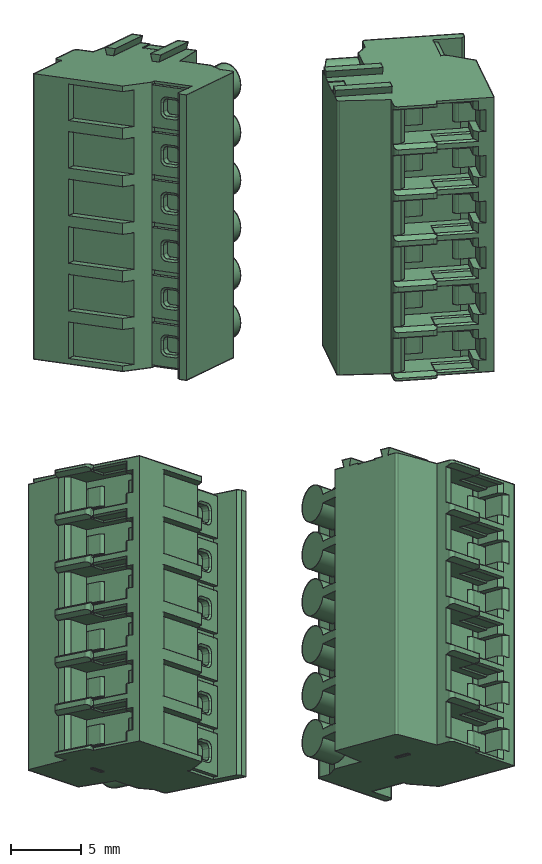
import cadquery as cq
import math

POLES = 6
PITCH = 3.5
BODY_HEIGHT = POLES * PITCH

WIDTH = 12.9
DEPTH = 11.1
CONTACT_FACE_X = 0.58
FRONT_FACE_END_X = 7.75
PAD_FACE_Y = 1.95
PAD_START_X = 9.07
LIP_X = 12.1
LIP_CHAMFER = 0.24
SHOULDER_Y = 7.3
SHOULDER_FILLET = 0.3
FIN_START_Y = 4.17
REAR_LEFT_X = 1.88
REAR_LEFT_FOOT_X = 1.45
REAR_RIGHT_X = 7.75
REAR_RIGHT_FOOT_X = 8.08
REAR_FILLET = 0.17
STEP_Y = 8.0
STEP_END_X = 10.58
STEP_FOOT_X = 11.66

LABEL_X = (3.4, 8.27)
LABEL_HEIGHT = 2.68

PAD_HEIGHT = 3.1
PAD_RAISE = 0.37
ENTRY_X = 10.58
ENTRY_SIZE = 1.6
ENTRY_FILLET = 0.48
ENTRY_INNER_SIZE = 1.25
ENTRY_INNER_FILLET = 0.3
ENTRY_LEAD_IN = 0.1
ENTRY_DEPTH = 0.7

CHAMBER_HEIGHT = 2.64
MOUTH_HEIGHT = 3.1
CHAMBER_FLOOR_X = 2.7
CHAMBER_Y = (1.47, 6.42)
CHAMBER_CHAMFER = 0.32
FLOOR_STEP_Y = 2.05
FLOOR_STEP_DEPTH = 0.06
RELIEF_HEIGHT = 2.9
RELIEF_END_Y = 4.32
RELIEF_DEPTH_X = 1.38
RELIEF_TAPER = 35
MOUTH_CHAMFER_X = 0.24
FIN_FLARE_X = 0.5
NOTCH_HEIGHT = 1.65
NOTCH_Y = 0.95
NOTCH_CHAMFER = 0.35

SPRING_HEIGHT = 1.45
SPRING_RISE = 0.25
SPRING_BEND = 0.39
INNER_SPRING_Y = (4.8, CHAMBER_Y[1])
INNER_SPRING_RAMP = 0.24
OUTER_SPRING_Y = (1.0, 2.61)
SPRING_ROOT_X = CHAMBER_FLOOR_X + 0.22

TOWER_RADIUS = 1.35
TOWER_TOP_Y = 9.95
WEB_THICKNESS = 0.65

RAIL_X = (2.98, 6.65)
RAIL_START_Y = 7.0
RAIL_TOP_WIDTH = 0.85
RAIL_BASE_WIDTH = 0.55
RAIL_HEIGHT = 0.55
LATCH_X = (4.0, 5.6)
LATCH_Y = 9.94
LATCH_DEPTH = 0.06
NUB_X = (4.23, 5.46)
NUB_Y = (7.02, 7.28)
NUB_HEIGHT = 0.06

OVERLAP = 0.22


def box(x_range, y_range, z_range):
    """Box spanning three (low, high) ranges."""
    sizes = [high - low for low, high in (x_range, y_range, z_range)]
    corner = (x_range[0], y_range[0], z_range[0])
    return cq.Workplane("XY").box(*sizes, centered=False).translate(corner)


def slab(x_range, y_range, height):
    """Box of a given height centred on Z = 0."""
    return box(x_range, y_range, (-height / 2, height / 2))


def prism_z(points, height):
    """XY polygon extruded symmetrically about Z = 0."""
    return cq.Workplane("XY").polyline(points).close().extrude(height / 2, both=True)


def wedge_y(x_range, heights, y_range):
    """Prism along Y whose height about Z = 0 changes linearly across X."""
    (x0, x1), (h0, h1) = x_range, heights
    points = [(x0, -h0 / 2), (x1, -h1 / 2), (x1, h1 / 2), (x0, h0 / 2)]
    length = y_range[1] - y_range[0]
    prism = cq.Workplane("XZ").polyline(points).close().extrude(-length)
    return prism.translate((0, y_range[0], 0))


def make_body():
    outline = [
        (CONTACT_FACE_X, 0),
        (FRONT_FACE_END_X, 0),
        (PAD_START_X, PAD_FACE_Y),
        (LIP_X, PAD_FACE_Y),
        (LIP_X, LIP_CHAMFER),
        (LIP_X + LIP_CHAMFER, 0),
        (WIDTH, 0),
        (WIDTH, SHOULDER_Y),
        (STEP_FOOT_X, SHOULDER_Y),
        (STEP_END_X, STEP_Y),
        (REAR_RIGHT_FOOT_X, STEP_Y),
        (REAR_RIGHT_X, DEPTH),
        (REAR_LEFT_X, DEPTH),
        (REAR_LEFT_FOOT_X, SHOULDER_Y),
        (0, SHOULDER_Y),
        (0, FIN_START_Y),
        (CONTACT_FACE_X, FIN_START_Y),
    ]
    body = cq.Workplane("XY").polyline(outline).close().extrude(BODY_HEIGHT)
    mid = BODY_HEIGHT / 2
    for x, y, radius in (
        (WIDTH, SHOULDER_Y, SHOULDER_FILLET),
        (0, SHOULDER_Y, SHOULDER_FILLET),
        (0, FIN_START_Y, SHOULDER_FILLET),
        (REAR_LEFT_X, DEPTH, REAR_FILLET),
    ):
        body = body.edges(cq.selectors.NearestToPointSelector((x, y, mid))).fillet(radius)
    return body


def make_label_recess():
    """Recess running out at the sloping end of the front face."""
    slope = PAD_FACE_Y / (PAD_START_X - FRONT_FACE_END_X)
    depth = (LABEL_X[1] - FRONT_FACE_END_X) * slope
    return slab(LABEL_X, (-OVERLAP, depth), LABEL_HEIGHT)


def make_pad_groove():
    """Groove that separates the pads of neighbouring poles."""
    y_range = (PAD_FACE_Y - OVERLAP, PAD_FACE_Y + PAD_RAISE)
    return slab((PAD_START_X, LIP_X), y_range, PITCH - PAD_HEIGHT)


def rounded_square(size, fillet):
    return cq.Sketch().rect(size, size).vertices().fillet(fillet)


def make_entry_hole():
    """Rounded square hole with a tapered lead-in."""
    taper = math.degrees(math.atan((ENTRY_SIZE - ENTRY_INNER_SIZE) / 2 / ENTRY_LEAD_IN))
    lead_in = (
        cq.Workplane("XZ")
        .placeSketch(rounded_square(ENTRY_SIZE, ENTRY_FILLET))
        .extrude(-ENTRY_LEAD_IN, taper=taper)
    )
    bore = (
        cq.Workplane("XZ")
        .placeSketch(rounded_square(ENTRY_INNER_SIZE, ENTRY_INNER_FILLET))
        .extrude(-ENTRY_DEPTH)
    )
    return lead_in.union(bore).translate((ENTRY_X, PAD_FACE_Y, 0))


def finish_spring(outline, y_end):
    """Run the top of a spring to its rounded +Y end and extrude it."""
    return (
        outline.lineTo(CHAMBER_FLOOR_X - SPRING_RISE, y_end - SPRING_BEND)
        .radiusArc((CHAMBER_FLOOR_X, y_end), SPRING_BEND)
        .lineTo(SPRING_ROOT_X, y_end)
        .close()
        .extrude(SPRING_HEIGHT / 2, both=True)
    )


def make_springs():
    """Two contact springs standing on the chamber floor."""
    top_x = CHAMBER_FLOOR_X - SPRING_RISE

    low, high = INNER_SPRING_Y
    ramp_radius = (INNER_SPRING_RAMP**2 + SPRING_RISE**2) / (2 * SPRING_RISE)
    inner = (
        cq.Workplane("XY")
        .moveTo(SPRING_ROOT_X, low)
        .lineTo(CHAMBER_FLOOR_X, low)
        .radiusArc((top_x, low + INNER_SPRING_RAMP), ramp_radius)
    )
    inner = finish_spring(inner, high)

    low, high = OUTER_SPRING_Y
    outer = cq.Workplane("XY").moveTo(SPRING_ROOT_X, low).lineTo(top_x, low)
    return inner.union(finish_spring(outer, high))


def make_chamber():
    """Contact chamber with a flared mouth, a relief and a notch at its -Y end."""
    low, high = CHAMBER_Y
    inner_x = CONTACT_FACE_X + CHAMBER_CHAMFER
    plan = [
        (-OVERLAP, low - CHAMBER_CHAMFER),
        (CONTACT_FACE_X, low - CHAMBER_CHAMFER),
        (inner_x, low),
        (CHAMBER_FLOOR_X, low),
        (CHAMBER_FLOOR_X, high),
        (inner_x, high),
        (CONTACT_FACE_X, high + CHAMBER_CHAMFER),
        (CONTACT_FACE_X, SHOULDER_Y + OVERLAP),
        (-OVERLAP, SHOULDER_Y + OVERLAP),
    ]
    chamber = prism_z(plan, CHAMBER_HEIGHT)

    fin_flare = wedge_y(
        (0, FIN_FLARE_X),
        (MOUTH_HEIGHT, CHAMBER_HEIGHT),
        (FIN_START_Y, SHOULDER_Y + OVERLAP),
    )
    face_flare = wedge_y(
        (CONTACT_FACE_X, CONTACT_FACE_X + MOUTH_CHAMFER_X),
        (MOUTH_HEIGHT, RELIEF_HEIGHT),
        (0, RELIEF_END_Y),
    )
    relief = make_relief()
    flares = fin_flare.union(face_flare).union(relief).intersect(prism_z(plan, PITCH))
    step_x = (CHAMBER_FLOOR_X, CHAMBER_FLOOR_X + FLOOR_STEP_DEPTH)
    floor_step = slab(step_x, (low, FLOOR_STEP_Y), CHAMBER_HEIGHT)
    chamber = chamber.union(floor_step)
    return chamber.union(flares).union(make_notch()).cut(make_springs())


def make_relief():
    """Shallow recess in the chamber's floor and ceiling, with sloping sides."""
    rise = (RELIEF_HEIGHT - CHAMBER_HEIGHT) / 2
    length_x = RELIEF_DEPTH_X + OVERLAP
    center_x = CONTACT_FACE_X - OVERLAP + length_x / 2
    half = (
        cq.Workplane("XY", origin=(center_x, RELIEF_END_Y / 2, CHAMBER_HEIGHT / 2))
        .rect(length_x, RELIEF_END_Y)
        .extrude(rise, taper=RELIEF_TAPER)
    )
    return half.union(half.mirror("XY"))


def make_notch():
    """Notch through the chamber's end wall for the contact tail."""
    plan = [
        (CONTACT_FACE_X - OVERLAP, NOTCH_Y - NOTCH_CHAMFER),
        (CONTACT_FACE_X, NOTCH_Y - NOTCH_CHAMFER),
        (CONTACT_FACE_X + NOTCH_CHAMFER, NOTCH_Y),
        (CHAMBER_FLOOR_X, NOTCH_Y),
        (CHAMBER_FLOOR_X, CHAMBER_Y[0] + OVERLAP),
        (CONTACT_FACE_X - OVERLAP, CHAMBER_Y[0] + OVERLAP),
    ]
    return prism_z(plan, NOTCH_HEIGHT)


def make_tower():
    """Screw tower and its web, both trimmed by one sloping plane."""
    right_x = ENTRY_X + TOWER_RADIUS
    base_y = SHOULDER_Y - OVERLAP
    barrel = (
        cq.Workplane("XZ", origin=(ENTRY_X, base_y, 0))
        .circle(TOWER_RADIUS)
        .extrude(base_y - DEPTH)
    )
    web = slab((REAR_RIGHT_X - OVERLAP, ENTRY_X), (base_y, DEPTH), WEB_THICKNESS)
    envelope = prism_z(
        [
            (REAR_RIGHT_X - OVERLAP, base_y),
            (right_x, base_y),
            (right_x, TOWER_TOP_Y),
            (REAR_RIGHT_X, DEPTH),
            (REAR_RIGHT_X - OVERLAP, DEPTH),
        ],
        PITCH,
    )
    return barrel.union(web).intersect(envelope)


def make_rail(x):
    """Dovetail rail on the +Z end face."""
    points = [
        (-RAIL_BASE_WIDTH / 2, -OVERLAP),
        (RAIL_BASE_WIDTH / 2, -OVERLAP),
        (RAIL_BASE_WIDTH / 2, 0),
        (RAIL_TOP_WIDTH / 2, RAIL_HEIGHT),
        (-RAIL_TOP_WIDTH / 2, RAIL_HEIGHT),
        (-RAIL_BASE_WIDTH / 2, 0),
    ]
    rail = cq.Workplane("XZ").polyline(points).close().extrude(DEPTH - RAIL_START_Y)
    return rail.translate((x, DEPTH, BODY_HEIGHT))


body = make_body()

pole_cuts = make_label_recess().union(make_entry_hole()).union(make_chamber())
tower = make_tower()
for pole in range(POLES):
    center = (0, 0, (pole + 0.5) * PITCH)
    body = body.cut(pole_cuts.translate(center)).union(tower.translate(center))

groove = make_pad_groove()
for boundary in range(POLES + 1):
    body = body.cut(groove.translate((0, 0, boundary * PITCH)))

latch_z = (BODY_HEIGHT - LATCH_DEPTH, BODY_HEIGHT + OVERLAP)
body = body.cut(box(LATCH_X, (LATCH_Y, DEPTH + OVERLAP), latch_z))
body = body.union(box(NUB_X, NUB_Y, (-NUB_HEIGHT, OVERLAP)))
for rail_x in RAIL_X:
    body = body.union(make_rail(rail_x))

result = body